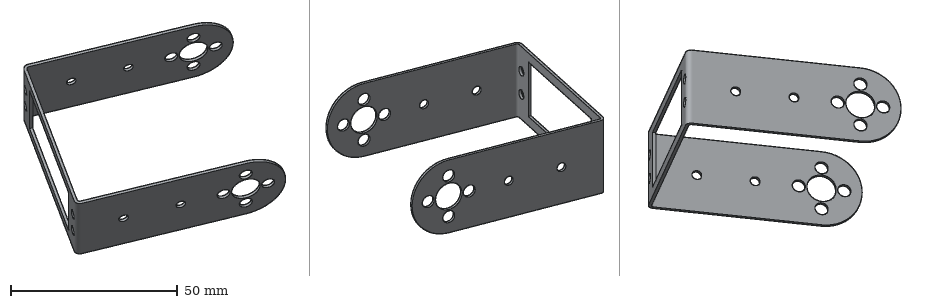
import cadquery as cq

width = 55.0
length = 66.0
height = 25.0

thickness = 1.0
bend_outer_radius = 1.8
bend_inner_radius = bend_outer_radius - thickness

window_width = 40.0
window_height = 18.7
mount_hole_diameter = 3.0
mount_spacing_x = 49.0
mount_spacing_z = 8.0

arm_end_radius = height / 2
horn_bore_diameter = 9.0
horn_hole_diameter = 4.0
horn_circle_radius = 7.0
horn_hole_count = 4
arm_hole_diameter = 3.0
arm_hole_distances = (20.45, 38.4)

base_y = -length / 2
horn_y = length / 2 - arm_end_radius


def make_bent_sheet():
    """U-shaped sheet with rounded bends, open toward +Y."""
    outer = (
        cq.Workplane("XY")
        .box(width, length, height)
        .edges("|Z and <Y")
        .fillet(bend_outer_radius)
    )
    inner = (
        cq.Workplane("XY")
        .box(width - 2 * thickness, length, height)
        .translate((0, thickness, 0))
        .edges("|Z and <Y")
        .fillet(bend_inner_radius)
    )
    return outer.cut(inner)


def make_arm_profile():
    """Side outline with a semicircular end, extended across the full width."""
    return (
        cq.Workplane("YZ")
        .moveTo(base_y, -height / 2)
        .lineTo(horn_y, -height / 2)
        .threePointArc((length / 2, 0), (horn_y, height / 2))
        .lineTo(base_y, height / 2)
        .close()
        .extrude(width / 2, both=True)
    )


def make_arm_holes():
    """Cutters that pass through both arms."""
    arm_plane = cq.Workplane("YZ")
    bore = arm_plane.center(horn_y, 0).circle(horn_bore_diameter / 2).extrude(width, both=True)
    horn_holes = (
        arm_plane.center(horn_y, 0)
        .polarArray(horn_circle_radius, 0, 360, horn_hole_count)
        .circle(horn_hole_diameter / 2)
        .extrude(width, both=True)
    )
    row_holes = (
        arm_plane.pushPoints([(horn_y - distance, 0) for distance in arm_hole_distances])
        .circle(arm_hole_diameter / 2)
        .extrude(width, both=True)
    )
    return bore.union(horn_holes).union(row_holes)


def make_base_cutouts():
    """Cutters for the base window and mounting holes, reaching from the base to mid-length."""
    base_plane = cq.Workplane("XZ")
    window = base_plane.rect(window_width, window_height).extrude(length)
    mount_holes = (
        base_plane.rect(mount_spacing_x, mount_spacing_z, forConstruction=True)
        .vertices()
        .circle(mount_hole_diameter / 2)
        .extrude(length)
    )
    return window.union(mount_holes)


result = (
    make_bent_sheet()
    .intersect(make_arm_profile())
    .cut(make_arm_holes())
    .cut(make_base_cutouts())
)